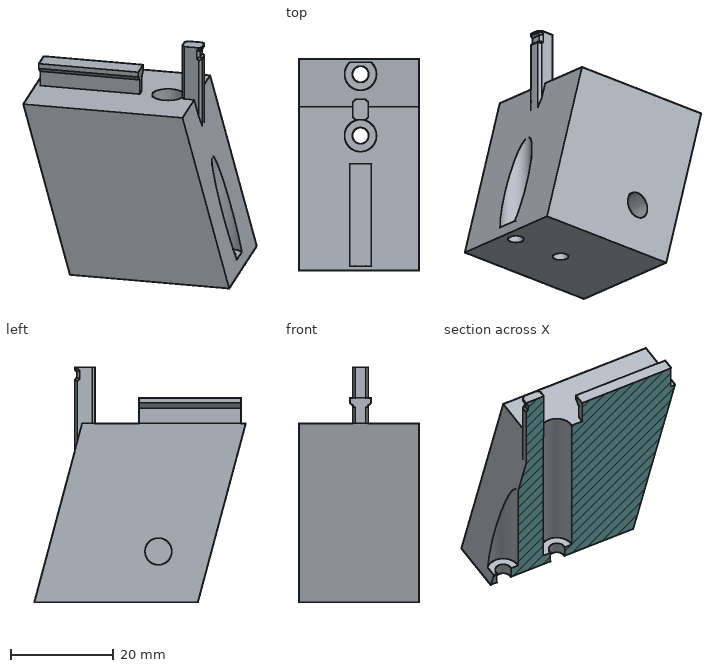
import cadquery as cq
import math

block_width = 23.5
block_length = 32.0
block_height = 35.0
lean_angle = 15
lean = block_height * math.tan(math.radians(lean_angle))

feature_x = 12.05

hole_diameter = 3.15
counterbore_diameter = 6.25
front_hole_y = 26.4
hole_spacing = 12.0
counterbore_floor = 2.5

side_hole_diameter = 5.25
side_hole_y = 17.1
side_hole_z = 10.0
side_hole_depth = 5.0

rail_start = 0.9
rail_length = 20.0
rail_height = 5.0
rail_head_width = 4.2
rail_neck_width = 2.0
rail_head_thickness = 1.0
rail_taper_height = 1.0

post_top = 46
post_bottom = 28.05
post_width = 3.1
post_depth = 4.0
post_front = 29.5
post_back = post_front + post_depth
post_chamfer = 0.55
notch_depth = 0.4
notch_lip = 0.45
notch_height = 2.02
notch_top = post_top - notch_lip
notch_bottom = notch_top - notch_height


def make_block():
    return (
        cq.Workplane("YZ")
        .moveTo(lean, 0)
        .lineTo(lean + block_length, 0)
        .lineTo(block_length, block_height)
        .lineTo(0, block_height)
        .close()
        .extrude(block_width)
    )


def make_rail():
    half_head = rail_head_width / 2
    half_neck = rail_neck_width / 2
    rail_top = block_height + rail_height
    head_bottom = rail_top - rail_head_thickness
    neck_top = head_bottom - rail_taper_height
    return (
        cq.Workplane("XZ", origin=(feature_x, rail_start, 0))
        .moveTo(-half_neck, block_height)
        .lineTo(-half_neck, neck_top)
        .lineTo(-half_head, head_bottom)
        .lineTo(-half_head, rail_top)
        .lineTo(half_head, rail_top)
        .lineTo(half_head, head_bottom)
        .lineTo(half_neck, neck_top)
        .lineTo(half_neck, block_height)
        .close()
        .extrude(-rail_length)
    )


def make_post():
    notch_y = post_back - notch_depth
    post = (
        cq.Workplane("YZ", origin=(feature_x, 0, 0))
        .moveTo(post_front, post_bottom)
        .lineTo(post_back, post_bottom)
        .lineTo(post_back, notch_bottom)
        .lineTo(notch_y, notch_bottom + notch_depth)
        .lineTo(notch_y, notch_top - notch_depth)
        .lineTo(post_back, notch_top)
        .lineTo(post_back, post_top)
        .lineTo(post_front, post_top)
        .close()
        .extrude(post_width / 2, both=True)
    )
    side_edges = post.faces("<X or >X").edges("not #Z")
    return post.newObject(side_edges.vals()).chamfer(post_chamfer)


def make_counterbored_hole(hole_y):
    base = cq.Workplane("XY", origin=(feature_x, hole_y, 0))
    through = base.circle(hole_diameter / 2).extrude(block_height)
    counterbore = (
        base.workplane(offset=counterbore_floor)
        .circle(counterbore_diameter / 2)
        .extrude(block_height - counterbore_floor)
    )
    return through.union(counterbore)


def make_side_hole():
    return (
        cq.Workplane("YZ")
        .center(side_hole_y, side_hole_z)
        .circle(side_hole_diameter / 2)
        .extrude(side_hole_depth)
    )


result = make_block().union(make_rail()).union(make_post())
for hole_y in (front_hole_y, front_hole_y + hole_spacing):
    result = result.cut(make_counterbored_hole(hole_y))
result = result.cut(make_side_hole())